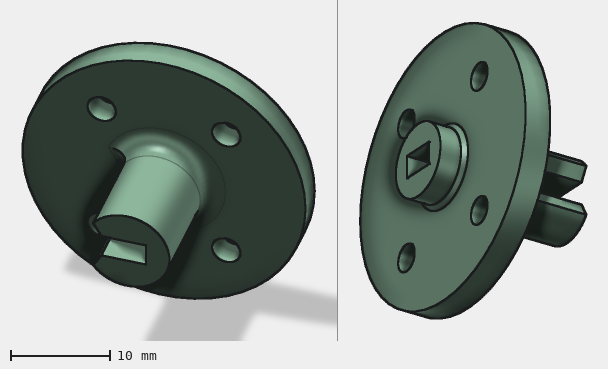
import cadquery as cq
import math

flange_diameter = 30.0
flange_thickness = 3.0

hole_diameter = 3.0
hole_spacing_x = 13.2
hole_spacing_z = 15.0

shaft_diameter = 9.0
shaft_length = 12.0
shaft_fillet = 2.0
notch_half_angle = 60.0

boss_diameter = 8.1
boss_length = 3.0
boss_chamfer = 0.5

keyway_width = 4.02
keyway_height = 2.5

notch_apex_x = -keyway_width / 2

selection_margin = 0.03


def cylinder(diameter, y_start, y_end):
    """Cylinder along Y between two y positions."""
    return (
        cq.Workplane("XZ", origin=(0, y_end, 0))
        .circle(diameter / 2)
        .extrude(y_end - y_start)
    )


def make_shaft():
    """Shaft with the V notch cut along its full length."""
    reach = shaft_diameter
    spread = reach * math.tan(math.radians(notch_half_angle))
    notch = (
        cq.Workplane("XZ")
        .moveTo(notch_apex_x, 0)
        .lineTo(notch_apex_x - reach, spread)
        .lineTo(notch_apex_x - reach, -spread)
        .close()
        .extrude(shaft_length)
    )
    return cylinder(shaft_diameter, -shaft_length, 0).cut(notch)


def root_edges(body, y, root_diameter):
    """Edges lying in the plane at y where a boss meets the flange."""
    reach = root_diameter / 2 + selection_margin
    return body.edges(cq.selectors.BoxSelector(
        (-reach, y - selection_margin, -reach),
        (reach, y + selection_margin, reach),
        boundingbox=True,
    ))


body = cylinder(flange_diameter, 0, flange_thickness)
body = body.union(make_shaft())
body = root_edges(body, 0, shaft_diameter).fillet(shaft_fillet)
body = body.union(cylinder(boss_diameter, flange_thickness, flange_thickness + boss_length))
body = root_edges(body, flange_thickness, boss_diameter).chamfer(boss_chamfer)

total_length = shaft_length + flange_thickness + boss_length
keyway = cq.Workplane("XY").box(
    keyway_width, total_length, keyway_height, centered=(True, False, True)
).translate((0, -shaft_length, 0))

opening = cq.Workplane("XY").box(
    flange_diameter / 2, shaft_length, keyway_height, centered=(False, False, True)
).translate((-flange_diameter / 2, -shaft_length, 0))

holes = (
    cq.Workplane("XZ", origin=(0, flange_thickness, 0))
    .rect(hole_spacing_x, hole_spacing_z, forConstruction=True)
    .vertices()
    .circle(hole_diameter / 2)
    .extrude(flange_thickness)
)

result = body.cut(keyway).cut(opening).cut(holes)